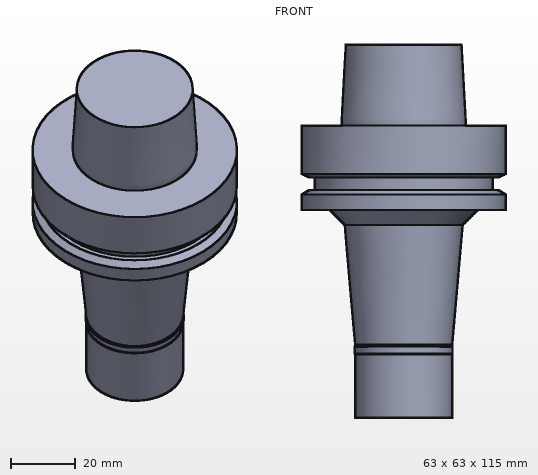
import cadquery as cq

total_height = 115.0
taper_bottom_z = 91.9
flange_top_z = 90.0
groove_upper_rim_z = 75.2
groove_top_z = 74.1
groove_bottom_z = 70.3
groove_lower_rim_z = 68.8
flange_bottom_z = 64.0
neck_top_z = 59.5
neck_bottom_z = 22.5
nut_top_z = 22.0
nut_step_z = 19.5
nut_step_height = 0.3

taper_top_diameter = 35.8
spigot_diameter = 38.3
flange_diameter = 63.0
groove_diameter = 55.0
groove_lip_diameter = 58.3
neck_top_diameter = 36.5
neck_bottom_diameter = 30.0
undercut_diameter = 22.4
nut_collar_diameter = 30.2
nut_diameter = 30.0


def frustum(bottom_z, top_z, bottom_diameter, top_diameter):
    """Solid of revolution about Z between two heights, straight or conical."""
    return (
        cq.Workplane("XZ")
        .moveTo(0, bottom_z)
        .lineTo(bottom_diameter / 2, bottom_z)
        .lineTo(top_diameter / 2, top_z)
        .lineTo(0, top_z)
        .close()
        .revolve(360, (0, 0, 0), (0, 1, 0))
    )


def cylinder(bottom_z, top_z, diameter):
    return frustum(bottom_z, top_z, diameter, diameter)


collar_bottom_z = nut_step_z + nut_step_height
nut = (
    cylinder(0, nut_step_z, nut_diameter)
    .union(frustum(nut_step_z, collar_bottom_z, nut_diameter, nut_collar_diameter))
    .union(cylinder(collar_bottom_z, nut_top_z, nut_collar_diameter))
)
undercut = cylinder(nut_top_z, neck_bottom_z, undercut_diameter)

cone_top_diameter = neck_top_diameter + 2 * (flange_bottom_z - neck_top_z)
neck = frustum(neck_bottom_z, neck_top_z, neck_bottom_diameter, neck_top_diameter)
cone = frustum(neck_top_z, flange_bottom_z, neck_top_diameter, cone_top_diameter)

flange = (
    cylinder(flange_bottom_z, groove_lower_rim_z, flange_diameter)
    .union(frustum(groove_lower_rim_z, groove_bottom_z, flange_diameter, groove_lip_diameter))
    .union(cylinder(groove_bottom_z, groove_top_z, groove_diameter))
    .union(frustum(groove_top_z, groove_upper_rim_z, groove_lip_diameter, flange_diameter))
    .union(cylinder(groove_upper_rim_z, flange_top_z, flange_diameter))
)

spigot = cylinder(flange_top_z, taper_bottom_z, spigot_diameter)
taper = frustum(taper_bottom_z, total_height, spigot_diameter, taper_top_diameter)

result = nut
for section in (undercut, neck, cone, flange, spigot, taper):
    result = result.union(section)